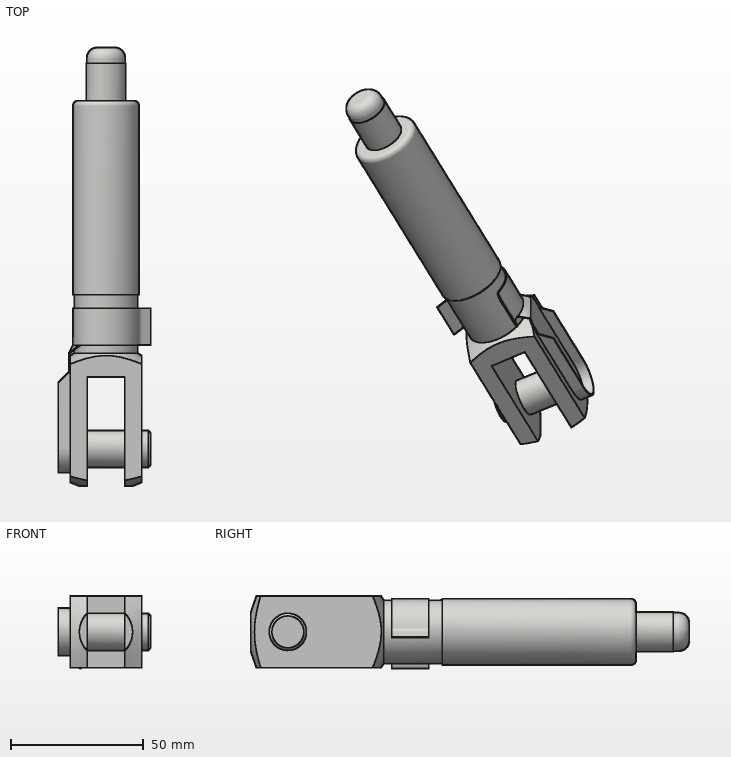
import cadquery as cq
import math


block_width = 27.0
block_front = -14.0
block_back = 36.0
slot_width = 14.0
slot_end = 27.0
front_cone_radius = 10.0
front_cone_angle = 22.5
back_cone_radius = 12.0
back_cone_angle = 30.0

neck_radius = 12.0
body_start = 58.0
body_radius = 12.5
body_end = 131.0
body_fillet = 2.0
stud_radius = 7.5
stud_end = 145.0
tip_radius = 7.3
tip_fillet = 4.0
rod_end = 151.0

pin_radius = 7.0
pin_end = 16.88
pin_chamfer = 1.0
sheet = 0.5
arm_half_width = 9.0
arm_taper_start = 34.0
link_half_width = 7.2
rim_face = -18.0
rim_end = 29.0
band_start = 39.0
band_end = 53.0
band_inner = neck_radius
band_outer = band_inner + sheet
left_lip_angle = 219.8
right_lip_angle = 8.0
lip_bend_radius = 2.2
lip_bend_angle = 53.0
lip_length = 3.88

block_half = block_width / 2
arm_outer = -block_half - sheet


def revolve_about_rod(points):
    """Revolve an outline of (radius, y) points about the rod axis."""
    return cq.Workplane("XY").polyline(points).close().revolve(360, (0, 0, 0), (0, 1, 0))


def cylinder_y(radius, start, end):
    return cq.Workplane("XZ", origin=(0, start, 0)).circle(radius).extrude(start - end)


def make_clevis():
    length = block_back - block_front
    block = cq.Workplane("XY").box(block_width, length, block_width)
    block = block.translate((0, (block_front + block_back) / 2, 0))

    turning_radius = block_width
    front_depth = (turning_radius - front_cone_radius) * math.tan(math.radians(front_cone_angle))
    back_depth = (turning_radius - back_cone_radius) * math.tan(math.radians(back_cone_angle))
    turned = revolve_about_rod([
        (0, block_front),
        (front_cone_radius, block_front),
        (turning_radius, block_front + front_depth),
        (turning_radius, block_back - back_depth),
        (back_cone_radius, block_back),
        (0, block_back),
    ])
    slot_length = slot_end - block_front
    slot = cq.Workplane("XY").box(slot_width, slot_length, block_width)
    slot = slot.translate((0, block_front + slot_length / 2, 0))
    return block.intersect(turned).cut(slot)


def make_rod():
    neck = cylinder_y(neck_radius, block_back, body_start)
    body = cylinder_y(body_radius, body_start, body_end).faces(">Y").edges().fillet(body_fillet)
    stud = cylinder_y(stud_radius, body_end, stud_end)
    tip = cylinder_y(tip_radius, stud_end, rod_end).faces(">Y").edges().fillet(tip_fillet)
    return neck.union(body).union(stud).union(tip)


def make_pin():
    pin = cq.Workplane("YZ", origin=(arm_outer, 0, 0)).circle(pin_radius).extrude(pin_end - arm_outer)
    return pin.faces(">X").edges().chamfer(pin_chamfer)


def arm_outline(half_width, start_x, thickness):
    """Plate across X, rounded about the pin and tapered toward the band."""
    return (
        cq.Workplane("YZ", origin=(start_x, 0, 0))
        .moveTo(0, half_width)
        .lineTo(arm_taper_start, half_width)
        .lineTo(block_back, link_half_width)
        .lineTo(block_back, -link_half_width)
        .lineTo(arm_taper_start, -half_width)
        .lineTo(0, -half_width)
        .threePointArc((-half_width, 0), (0, half_width))
        .close()
        .extrude(thickness)
    )


def make_rim():
    """Raised rim along the arm edges and about the pin, ending in 45 degree ramps."""
    height = arm_outer - rim_face
    rim = arm_outline(arm_half_width, rim_face, height).cut(
        arm_outline(arm_half_width - sheet, rim_face, height)
    )
    envelope = (
        cq.Workplane("XY", origin=(0, 0, -arm_half_width))
        .moveTo(arm_outer, -arm_half_width)
        .lineTo(arm_outer, rim_end)
        .lineTo(rim_face, rim_end - height)
        .lineTo(rim_face, -arm_half_width)
        .close()
        .extrude(2 * arm_half_width)
    )
    return rim.intersect(envelope)


def make_link():
    """Sheet that blends from the flat arm to the curved band."""
    outer_x = -math.sqrt(band_outer**2 - link_half_width**2)
    inner_x = -math.sqrt(band_inner**2 - link_half_width**2)
    return (
        cq.Workplane("XZ", origin=(0, band_start, 0))
        .moveTo(outer_x, -link_half_width)
        .threePointArc((-band_outer, 0), (outer_x, link_half_width))
        .lineTo(inner_x, link_half_width)
        .threePointArc((-band_inner, 0), (inner_x, -link_half_width))
        .close()
        .workplane(offset=band_start - block_back)
        .moveTo(arm_outer, -link_half_width)
        .lineTo(arm_outer, link_half_width)
        .lineTo(-block_half, link_half_width)
        .lineTo(-block_half, -link_half_width)
        .close()
        .loft(ruled=True)
    )


def polar(radius, angle):
    return (radius * math.cos(math.radians(angle)), radius * math.sin(math.radians(angle)))


def make_band():
    """Open spring band around the neck, from the right lip over the top to the left lip."""
    middle = (left_lip_angle + right_lip_angle) / 2
    return (
        cq.Workplane("XZ", origin=(0, band_end, 0))
        .moveTo(*polar(band_outer, right_lip_angle))
        .threePointArc(polar(band_outer, middle), polar(band_outer, left_lip_angle))
        .lineTo(*polar(band_inner, left_lip_angle))
        .threePointArc(polar(band_inner, middle), polar(band_inner, right_lip_angle))
        .close()
        .extrude(band_end - band_start)
    )


def make_lip(angle, side):
    """Outward bend and straight lip at one band end; side is +1 counterclockwise, -1 clockwise."""
    bend_x, bend_z = polar(band_outer + lip_bend_radius, angle)
    back_angle = angle + 180

    def on_bend(radius, turn):
        dx, dz = polar(radius, back_angle - side * turn)
        return (bend_x + dx, bend_z + dz)

    step_x, step_z = polar(lip_length, angle + side * (90 - lip_bend_angle))

    def tip(radius):
        x, z = on_bend(radius, lip_bend_angle)
        return (x + step_x, z + step_z)

    near = lip_bend_radius
    far = lip_bend_radius + sheet
    return (
        cq.Workplane("XZ", origin=(0, band_end, 0))
        .moveTo(*on_bend(near, 0))
        .threePointArc(on_bend(near, lip_bend_angle / 2), on_bend(near, lip_bend_angle))
        .lineTo(*tip(near))
        .lineTo(*tip(far))
        .lineTo(*on_bend(far, lip_bend_angle))
        .threePointArc(on_bend(far, lip_bend_angle / 2), on_bend(far, 0))
        .close()
        .extrude(band_end - band_start)
    )


arm = arm_outline(arm_half_width, arm_outer, sheet)
clip = arm.union(make_rim()).union(make_link()).union(make_band())
clip = clip.union(make_lip(left_lip_angle, 1)).union(make_lip(right_lip_angle, -1))

result = make_clevis().union(make_rod()).union(clip).union(make_pin(), clean=False)